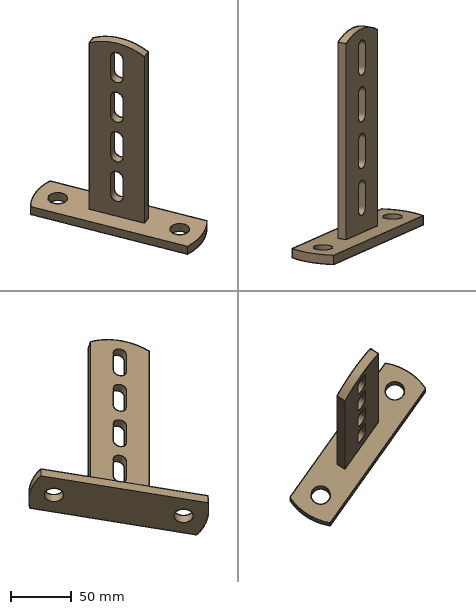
import cadquery as cq
import math

total_height = 183.0
base_length = 150.0
base_width = 40.0
plate_thickness = 8.0
upright_width = 50.0
end_radius = 50.0

hole_diameter = 16.0
hole_spacing = 110.0

slot_count = 4
slot_width = 11.0
slot_length = 30.0
slot_pitch = 40.0
first_slot_height = 30.0


def arc_rise(chord):
    """Height of a rounded end above the chord it spans."""
    return end_radius - math.sqrt(end_radius**2 - (chord / 2)**2)


def make_base():
    """Horizontal plate with two rounded ends and a hole near each end."""
    half_length = base_length / 2
    half_width = base_width / 2
    corner_x = half_length - arc_rise(base_width)
    plate = (
        cq.Workplane("XY")
        .moveTo(-corner_x, -half_width)
        .lineTo(corner_x, -half_width)
        .threePointArc((half_length, 0), (corner_x, half_width))
        .lineTo(-corner_x, half_width)
        .threePointArc((-half_length, 0), (-corner_x, -half_width))
        .close()
        .extrude(plate_thickness)
    )
    holes = (
        cq.Workplane("XY")
        .rarray(hole_spacing, 1.8, 2, 1)
        .circle(hole_diameter / 2)
        .extrude(plate_thickness)
    )
    return plate.cut(holes)


def make_upright():
    """Vertical plate standing on the base, with a rounded top and a row of slots."""
    half_width = upright_width / 2
    shoulder_z = total_height - arc_rise(upright_width)
    plate = (
        cq.Workplane("XZ")
        .moveTo(-half_width, plate_thickness)
        .lineTo(half_width, plate_thickness)
        .lineTo(half_width, shoulder_z)
        .threePointArc((0, total_height), (-half_width, shoulder_z))
        .close()
        .extrude(plate_thickness / 2, both=True)
    )
    first_slot_z = plate_thickness + first_slot_height
    slot_centres = [(0, first_slot_z + i * slot_pitch) for i in range(slot_count)]
    slots = (
        cq.Workplane("XZ")
        .pushPoints(slot_centres)
        .slot2D(slot_length, slot_width, angle=90)
        .extrude(plate_thickness / 2, both=True)
    )
    return plate.cut(slots)


base = make_base()
upright = make_upright()

result = cq.Compound.makeCompound([base.solids().val(), upright.solids().val()])